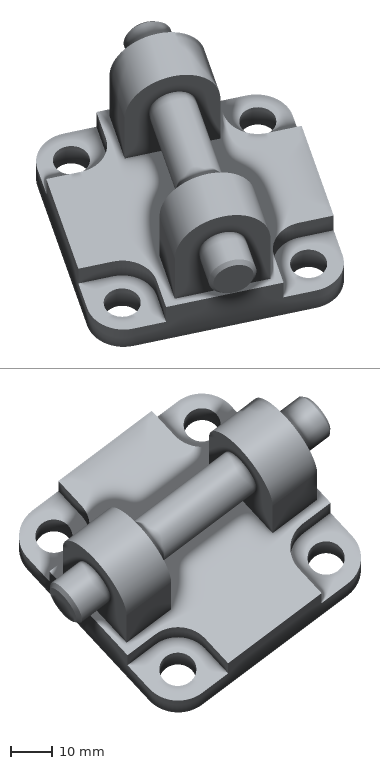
import cadquery as cq

base_side = 64.0
base_height = 12.0
base_corner_radius = 9.1

hole_diameter = 9.0
hole_edge_distance = 8.6
hole_offset = base_side / 2 - hole_edge_distance
seat_height = 6.5
seat_radius = 8.6
seat_inner_edge = hole_offset - seat_radius

lug_radius = 12.0
lug_inner_gap = 32.0
lug_thickness = 14.0
lug_center_x = (lug_inner_gap + lug_thickness) / 2
pin_axis_height = 27.0

pin_diameter = 12.0
pin_length = 80.0
pin_chamfer = 1.0


def pin_cylinder():
    """Full-length cylinder of pin diameter along X, used for the pin and its bores."""
    return (
        cq.Workplane("YZ", origin=(-pin_length / 2, 0, pin_axis_height))
        .circle(pin_diameter / 2)
        .extrude(pin_length)
    )


def make_corner_seat(x_sign, y_sign):
    """Cutter for one corner seat, open to both outer sides, with a rounded inner corner."""
    seat_side = base_side / 2 - seat_inner_edge
    seat_center = seat_inner_edge + seat_side / 2
    inner_corner = cq.selectors.NearestToPointSelector(
        (x_sign * seat_inner_edge, y_sign * seat_inner_edge, (seat_height + base_height) / 2)
    )
    return (
        cq.Workplane("XY", origin=(x_sign * seat_center, y_sign * seat_center, seat_height))
        .rect(seat_side, seat_side)
        .extrude(base_height - seat_height)
        .edges("|Z")
        .edges(inner_corner)
        .fillet(seat_radius)
    )


def make_lug(center_x):
    """Upright lug with a round top, standing on the base plate."""
    return (
        cq.Workplane("YZ", origin=(center_x, 0, 0))
        .moveTo(-lug_radius, base_height)
        .lineTo(-lug_radius, pin_axis_height)
        .threePointArc((0, pin_axis_height + lug_radius), (lug_radius, pin_axis_height))
        .lineTo(lug_radius, base_height)
        .close()
        .extrude(lug_thickness / 2, both=True)
    )


def make_bracket():
    """Base plate with four corner seats and holes, and two bored lugs."""
    bracket = (
        cq.Workplane("XY")
        .rect(base_side, base_side)
        .extrude(base_height)
        .edges("|Z")
        .fillet(base_corner_radius)
    )
    for x_sign in (-1, 1):
        for y_sign in (-1, 1):
            bracket = bracket.cut(make_corner_seat(x_sign, y_sign))

    holes = (
        cq.Workplane("XY")
        .rect(2 * hole_offset, 2 * hole_offset, forConstruction=True)
        .vertices()
        .circle(hole_diameter / 2)
        .extrude(base_height)
    )
    bracket = bracket.cut(holes)

    for side in (-1, 1):
        bracket = bracket.union(make_lug(side * lug_center_x))
    return bracket.cut(pin_cylinder())


def make_pin():
    """Straight pin through both lugs, chamfered at each end."""
    return pin_cylinder().faces("<X or >X").chamfer(pin_chamfer)


bracket = make_bracket()
pin = make_pin()

result = cq.Compound.makeCompound([bracket.solids().val(), pin.solids().val()])